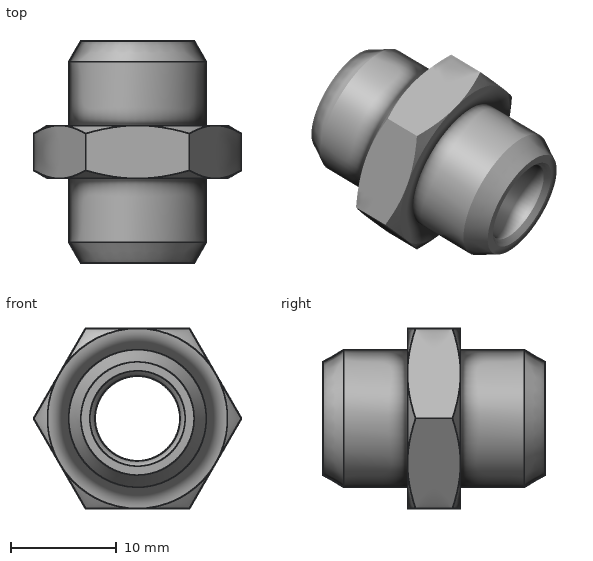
import cadquery as cq
import math

length = 21.0
tube_diameter = 13.0
bore_diameter = 8.0
bore_chamfer = 0.5
end_taper_length = 2.0
taper_angle = math.radians(30)
hex_across_flats = 17.0
hex_width = 5.0

tube_radius = tube_diameter / 2
bore_radius = bore_diameter / 2
flat_radius = hex_across_flats / 2
corner_radius = flat_radius / math.cos(math.pi / 6)
half_length = length / 2
half_hex_width = hex_width / 2


def revolve_about_y(profile_points):
    """Turn a closed (radius, y) profile around the Y axis."""
    profile = cq.Workplane("XY").polyline(profile_points).close()
    return profile.revolve(360, (0, 0, 0), (0, 1, 0))


def make_tube():
    """Solid cylinder with a conical taper at both ends."""
    end_radius = tube_radius - end_taper_length * math.tan(taper_angle)
    taper_start = half_length - end_taper_length
    return revolve_about_y([
        (0, -half_length),
        (end_radius, -half_length),
        (tube_radius, -taper_start),
        (tube_radius, taper_start),
        (end_radius, half_length),
        (0, half_length),
    ])


def make_hex_collar():
    """Hexagon with corners on the X axis, its corners turned off by 30 degree cones."""
    prism = (
        cq.Workplane("XZ")
        .polygon(6, 2 * corner_radius)
        .extrude(half_hex_width, both=True)
    )
    corner_drop = (corner_radius - flat_radius) * math.tan(taper_angle)
    corner_height = half_hex_width - corner_drop
    envelope = revolve_about_y([
        (0, -half_hex_width),
        (flat_radius, -half_hex_width),
        (corner_radius, -corner_height),
        (corner_radius, corner_height),
        (flat_radius, half_hex_width),
        (0, half_hex_width),
    ])
    return prism.intersect(envelope)


def make_bore():
    """Through bore with a 45 degree chamfer at each mouth."""
    mouth_radius = bore_radius + bore_chamfer
    chamfer_start = half_length - bore_chamfer
    return revolve_about_y([
        (0, -half_length),
        (mouth_radius, -half_length),
        (bore_radius, -chamfer_start),
        (bore_radius, chamfer_start),
        (mouth_radius, half_length),
        (0, half_length),
    ])


result = make_tube().union(make_hex_collar()).cut(make_bore())